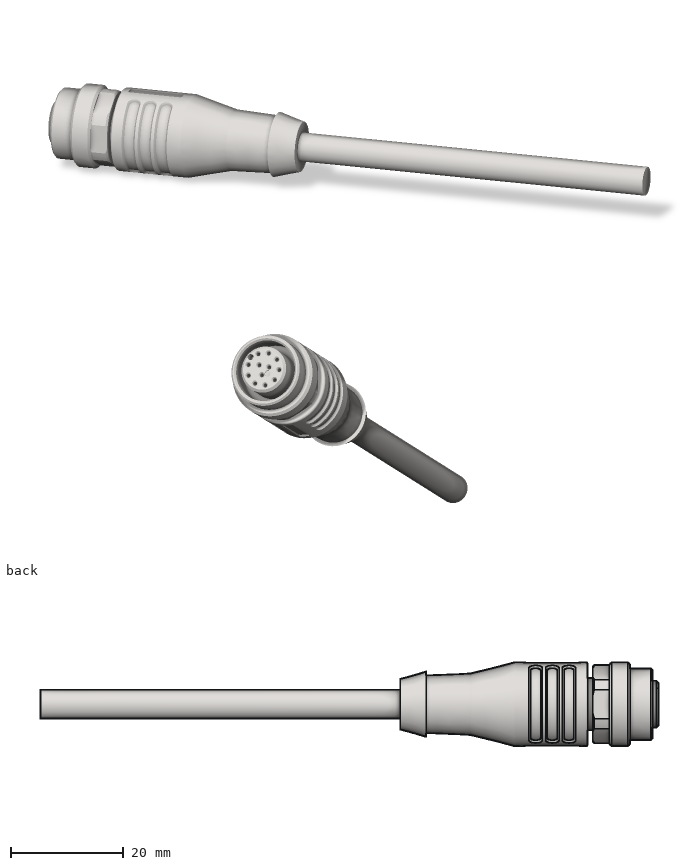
import cadquery as cq
import math


NUT_START = 1.1
RING_START = 5.1
HEX_START = 8.8
HEX_END = 11.8
GRIP_START = 12.6
GRIP_END = 25.6
TAPER_END = 33.4
COLLAR_START = 41.3
COLLAR_END = 45.9
CABLE_END = 109.9

NOSE_DIA = 8.4
NUT_DIA = 12.7
NUT_BORE_DIA = 11.0
NECK_DIA = 9.3
GRIP_DIA = 15.0
TAPER_END_DIA = 11.0
SLEEVE_END_DIA = 10.3
COLLAR_DIA = 11.6
COLLAR_END_DIA = 9.0
CABLE_DIA = 5.2

NUT_CHAMFER = 0.3
RING_CHAMFER = 0.4
BORE_FLOOR = 6.6
SEAL_DIA = 1.4
HEX_ACROSS_FLATS = 13.0
HEX_CORNER_DIA = 14.0
HEX_CHAMFER = 0.3
HEX_TURN = 30.0

NOSE_FACE_DIA = 7.5
NOSE_CHAMFER_LENGTH = 0.4
PIN_HOLE_DIA = 0.7
PIN_HOLE_DEPTH = 5.5
PIN_ENTRY_DIA = 1.1
PIN_ENTRY_DEPTH = 0.2
OUTER_PIN_COUNT = 9
OUTER_PIN_RADIUS = 3.0
OUTER_PIN_STEP = 38.5
INNER_PIN_COUNT = 3
INNER_PIN_RADIUS = 1.1
KEY_ANGLE = 45.0
KEY_RADIUS = 3.3
KEY_WIDTH = 1.1
KEY_DEPTH = 2.2
DIMPLE_DIA = 1.1
DIMPLE_RADIUS = 1.2
DIMPLE_DEPTH = 0.2

GRIP_FILLET = 0.3
SLOT_COUNT = 3
SLOT_PITCH = 3.0
FIRST_SLOT_X = 15.9
SLOT_WIDTH = 2.4
SLOT_FLOOR_WIDTH = 1.8
SLOT_DEPTH = 0.4
SLOT_END_ANGLE = 31.5
LABEL_START = 14.0
LABEL_LENGTH = 10.0
LABEL_WIDTH = 2.0
LABEL_CORNER = 0.4
LABEL_FLOOR = 7.1
CUT_MARGIN = 0.4


def cylinder(start, end, diameter):
    """Round bar along X between two stations."""
    return cq.Workplane("YZ", origin=(start, 0, 0)).circle(diameter / 2).extrude(end - start)


def cone(start, end, start_dia, end_dia):
    """Frustum along X between two stations."""
    return (
        cq.Workplane("YZ", origin=(start, 0, 0))
        .circle(start_dia / 2)
        .workplane(offset=end - start)
        .circle(end_dia / 2)
        .loft(ruled=True)
    )


def polar_yz(radius, angle):
    """Point in the YZ plane at an angle from +Z toward +Y."""
    turn = math.radians(angle)
    return radius * math.sin(turn), radius * math.cos(turn)


def make_nut():
    front = cylinder(NUT_START, RING_START, NUT_DIA).faces("<X").chamfer(NUT_CHAMFER)
    ring = cylinder(RING_START, HEX_START, GRIP_DIA).edges().chamfer(RING_CHAMFER)
    hex_length = HEX_END - HEX_START
    corner_to_corner = HEX_ACROSS_FLATS / math.cos(math.radians(30))
    hexagon = (
        cq.Workplane("YZ", origin=(HEX_START, 0, 0))
        .polygon(6, corner_to_corner)
        .extrude(hex_length)
        .rotate((0, 0, 0), (1, 0, 0), HEX_TURN)
    )
    rounding = cylinder(HEX_START, HEX_END, HEX_CORNER_DIA).faces(">X").chamfer(HEX_CHAMFER)
    bore = cylinder(NUT_START, BORE_FLOOR, NUT_BORE_DIA)
    entry = cone(NUT_START, NUT_START + NUT_CHAMFER, NUT_BORE_DIA + 2 * NUT_CHAMFER, NUT_BORE_DIA)
    return front.union(ring).union(hexagon.intersect(rounding)).cut(bore).cut(entry)


def make_seal():
    """Sealing ring around the insert, half sunk into the bore floor."""
    ring_radius = (NOSE_DIA + NUT_BORE_DIA) / 4
    return (
        cq.Workplane("XY")
        .center(BORE_FLOOR, ring_radius)
        .circle(SEAL_DIA / 2)
        .revolve(360, (0, -ring_radius), (1, -ring_radius))
    )


def face_holes(places, diameter, depth):
    """Cutters for round holes sunk from the contact face."""
    return cq.Workplane("YZ").pushPoints(places).circle(diameter / 2).extrude(depth)


def make_insert():
    nose_edge = cone(0, NOSE_CHAMFER_LENGTH, NOSE_FACE_DIA, NOSE_DIA)
    insert = nose_edge.union(cylinder(NOSE_CHAMFER_LENGTH, HEX_START, NOSE_DIA))
    first_angle = KEY_ANGLE + (360 - (OUTER_PIN_COUNT - 1) * OUTER_PIN_STEP) / 2
    outer = [
        polar_yz(OUTER_PIN_RADIUS, first_angle + i * OUTER_PIN_STEP)
        for i in range(OUTER_PIN_COUNT)
    ]
    inner = [
        polar_yz(INNER_PIN_RADIUS, KEY_ANGLE + i * 360 / INNER_PIN_COUNT)
        for i in range(INNER_PIN_COUNT)
    ]
    pins = outer + inner
    entry = cone(0, PIN_ENTRY_DEPTH, PIN_ENTRY_DIA, PIN_HOLE_DIA)
    for y, z in pins:
        insert = insert.cut(entry.translate((0, y, z)))
    key_place = polar_yz(KEY_RADIUS, KEY_ANGLE)
    dimple_place = polar_yz(DIMPLE_RADIUS, KEY_ANGLE + 180)
    return (
        insert.cut(face_holes(pins, PIN_HOLE_DIA, PIN_HOLE_DEPTH))
        .cut(face_holes([key_place], KEY_WIDTH, KEY_DEPTH))
        .cut(face_holes([dimple_place], DIMPLE_DIA, DIMPLE_DEPTH))
    )


def slot_cutter(x):
    """Tapered-wall grip slot wrapped around the +Y side, with rounded ends."""
    floor_radius = GRIP_DIA / 2 - SLOT_DEPTH
    wall_slope = (SLOT_WIDTH - SLOT_FLOOR_WIDTH) / 2 / SLOT_DEPTH
    base_radius = floor_radius - CUT_MARGIN
    top_radius = GRIP_DIA / 2 + CUT_MARGIN
    base_half = SLOT_FLOOR_WIDTH / 2 - wall_slope * CUT_MARGIN
    top_half = SLOT_WIDTH / 2 + wall_slope * CUT_MARGIN
    sweep = 180 - 2 * SLOT_END_ANGLE
    cutter = (
        cq.Workplane("XY", origin=(x, 0, 0))
        .polyline([
            (-base_half, base_radius),
            (base_half, base_radius),
            (top_half, top_radius),
            (-top_half, top_radius),
        ])
        .close()
        .revolve(sweep, (0, 0), (1, 0))
        .rotate((0, 0, 0), (1, 0, 0), -sweep / 2)
    )
    for end_tilt in (-sweep / 2, sweep / 2):
        rounded_end = cq.Solid.makeCone(
            base_half, top_half, top_radius - base_radius,
            cq.Vector(x, base_radius, 0), cq.Vector(0, 1, 0),
        )
        cutter = cutter.union(cq.Workplane(rounded_end).rotate((0, 0, 0), (1, 0, 0), end_tilt))
    core = cylinder(x - SLOT_WIDTH, x + SLOT_WIDTH, 2 * floor_radius)
    return cutter.cut(core)


def label_cutter():
    """Flat-floored label recess on the +Z side."""
    return (
        cq.Workplane("XY", origin=(LABEL_START + LABEL_LENGTH / 2, 0, LABEL_FLOOR))
        .rect(LABEL_LENGTH, LABEL_WIDTH)
        .extrude(GRIP_DIA / 2 + CUT_MARGIN - LABEL_FLOOR)
        .edges("|Z")
        .fillet(LABEL_CORNER)
    )


def make_grip():
    grip = cylinder(GRIP_START, GRIP_END, GRIP_DIA).faces("<X").edges().fillet(GRIP_FILLET)
    cutters = [slot_cutter(FIRST_SLOT_X + i * SLOT_PITCH) for i in range(SLOT_COUNT)]
    cutters.append(label_cutter())
    for cutter in cutters:
        opposite = cutter.rotate((0, 0, 0), (1, 0, 0), 180)
        grip = grip.cut(cutter).cut(opposite)
    return grip


def make_strain_relief():
    taper = cone(GRIP_END, TAPER_END, GRIP_DIA, TAPER_END_DIA)
    sleeve = cone(TAPER_END, COLLAR_START, TAPER_END_DIA, SLEEVE_END_DIA)
    collar = cone(COLLAR_START, COLLAR_END, COLLAR_DIA, COLLAR_END_DIA)
    return taper.union(sleeve).union(collar)


neck = cylinder(HEX_START, GRIP_START, NECK_DIA)
cable = cylinder(COLLAR_END, CABLE_END, CABLE_DIA)

result = (
    make_nut()
    .union(make_insert())
    .union(make_seal())
    .union(neck)
    .union(make_grip())
    .union(make_strain_relief())
    .union(cable)
)